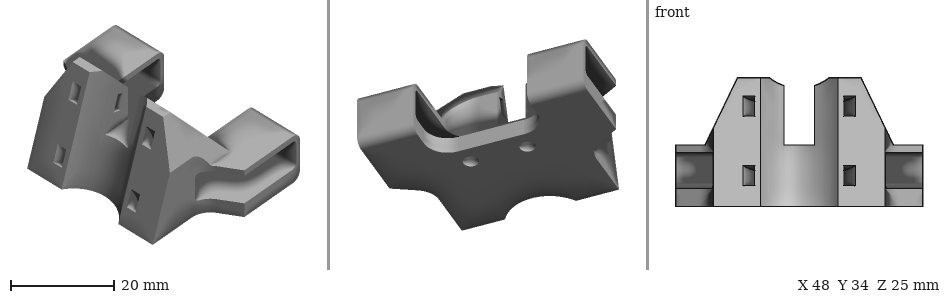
import cadquery as cq
import math

width = 48.0
depth = 34.0
height = 25.0

arm_top = 11.95
arm_inner_x = 12.0
arm_front_y = 18.2
arm_taper_angle = math.radians(30)
block_half_width = 16.65
corner_radius = 5.0
arm_edge_radius = 2.0
plate_back_y = 23.9

crest_front_y = 7.95
crest_back_y = 10.0
tower_back_y = 20.35
crest_half_width = 12.0
tower_base_half_width = 18.3

wall_back = 1.0
window_length = 21.0
window_bottom = 3.5
window_height = 7.0
window_radius = 1.0
opening_front_y = 13.95

screw_diameter = 3.2
screw_spacing = 12.0
screw_y = 19.9
notch_width = 5.9
saddle_radius = 9.0
saddle_axis_offset = 5.0
tie_inner_radius = 10.0
tie_outer_radius = 12.0
tie_width = 4.1
tie_bottom_heights = (4.1, 17.5)

lean = math.atan2(crest_front_y, height)


def make_plan():
    """Plan outline, with a tangent arc between each tapered arm and the block."""
    half = width / 2
    arc_sweep = math.pi / 2 - arm_taper_angle
    arc_start_y = (
        arm_front_y
        - (half - block_half_width) * math.tan(arm_taper_angle)
        - corner_radius * math.tan(arc_sweep / 2)
    )

    def arc_point(angle):
        x = block_half_width + corner_radius * (1 - math.cos(angle))
        y = arc_start_y + corner_radius * math.sin(angle)
        return x, y

    def mirrored(point):
        return -point[0], point[1]

    start, middle, end = (arc_point(arc_sweep * part) for part in (0, 0.5, 1))
    plan = (
        cq.Workplane("XY")
        .moveTo(-block_half_width, 0)
        .lineTo(block_half_width, 0)
        .lineTo(*start)
        .threePointArc(middle, end)
        .lineTo(half, arm_front_y)
        .lineTo(half, depth)
        .lineTo(-half, depth)
        .lineTo(-half, arm_front_y)
        .lineTo(*mirrored(end))
        .threePointArc(mirrored(middle), mirrored(start))
        .close()
        .extrude(height)
    )
    gap = rounded_gap(plate_back_y, 0, height)
    return plan.cut(gap)


def rounded_gap(front_y, bottom, top):
    """Space between the arms, open to the back, with rounded front corners."""
    return (
        cq.Workplane("XY", origin=(0, front_y, bottom))
        .box(2 * arm_inner_x, depth, top - bottom, centered=(True, False, False))
        .edges("|Z and <Y")
        .fillet(corner_radius)
    )


def make_side_profile():
    """Side silhouette: leaning front face, crest, sloping back and arms."""
    return (
        cq.Workplane("YZ")
        .polyline([
            (0, 0),
            (depth, 0),
            (depth, arm_top),
            (tower_back_y, arm_top),
            (crest_back_y, height),
            (crest_front_y, height),
        ])
        .close()
        .extrude(width / 2, both=True)
        .edges("|X and >Y")
        .fillet(arm_edge_radius)
    )


def make_front_profile():
    """Front silhouette: tapered tower standing on the full-width arms."""
    right_side = [
        (width / 2, 0),
        (width / 2, arm_top),
        (tower_base_half_width, arm_top),
        (crest_half_width, height),
    ]
    left_side = [(-x, z) for x, z in reversed(right_side)]
    return cq.Workplane("XZ").polyline(right_side + left_side).close().extrude(-depth)


def make_window():
    return (
        cq.Workplane("XY")
        .box(width, window_length, window_height, centered=(True, False, False))
        .edges("|X")
        .fillet(window_radius)
        .translate((0, depth - wall_back - window_length, window_bottom))
    )


def saddle_plane(base_height):
    """Plane across the tube axis, level along the front face with base_height."""
    face_y = base_height * math.tan(lean)
    origin = (
        0,
        face_y - saddle_axis_offset * math.cos(lean),
        base_height + saddle_axis_offset * math.sin(lean),
    )
    return cq.Plane(origin=origin, xDir=(1, 0, 0), normal=(0, math.sin(lean), math.cos(lean)))


def make_saddle():
    return cq.Workplane(saddle_plane(0)).circle(saddle_radius).extrude(2 * height, both=True)


def make_tie_channel(bottom_height):
    """Ring-shaped channel around the saddle."""
    return (
        cq.Workplane(saddle_plane(bottom_height))
        .circle(tie_outer_radius)
        .circle(tie_inner_radius)
        .extrude(tie_width)
    )


def make_notch():
    return cq.Workplane("XY", origin=(0, 0, arm_top)).box(
        notch_width, depth, height - arm_top, centered=(True, False, False)
    )


def make_screw_holes():
    return (
        cq.Workplane("XY", origin=(0, screw_y, 0))
        .rarray(screw_spacing, 0.5, 2, 1)
        .circle(screw_diameter / 2)
        .extrude(window_bottom)
    )


result = make_plan().intersect(make_side_profile()).intersect(make_front_profile())
result = result.cut(rounded_gap(opening_front_y, window_bottom, height))
result = result.cut(make_window())
result = result.cut(make_notch())
result = result.cut(make_screw_holes())
result = result.cut(make_saddle())
for tie_bottom in tie_bottom_heights:
    result = result.cut(make_tie_channel(tie_bottom))